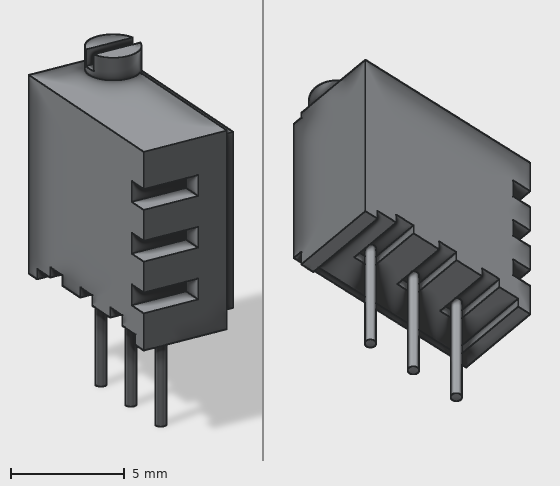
import cadquery as cq


total_height = 15.7
housing_size = 9.6
total_depth = 4.8
main_depth = 4.3

plate_top_inset = 0.3
plate_bottom_inset = 0.8
plate_side_inset = 0.28

foot_width = 0.7
foot_height = 0.5

head_diameter = 2.5
head_height = 1.1
head_inset = 1.4
head_y = 3.5
slot_width = 0.63
slot_depth = 0.8

pin_diameter = 0.5
pin_pitch = 2.5
pin_y = 2.31
pin_length_below = total_height - housing_size - head_height

notch_width = 1.0
notch_depth = pin_y + notch_width / 2
side_notch_length = 1.0
notch_ceiling = 2 * foot_height

half_width = housing_size / 2
head_x = -half_width + head_inset
head_top = housing_size + head_height
plate_top = housing_size - plate_top_inset
row_offsets = [-pin_pitch, 0, pin_pitch]


def box_between(low, high):
    """Box with edges along the axes, from its lowest corner to its highest corner."""
    sizes = [end - start for start, end in zip(low, high)]
    return cq.Workplane("XY").box(*sizes, centered=False).translate(low)


def make_case():
    """Front block with the smaller plate on its back."""
    block = box_between((-half_width, 0, 0), (half_width, main_depth, housing_size))
    plate = box_between(
        (-half_width, main_depth, plate_bottom_inset),
        (half_width - plate_side_inset, total_depth, plate_top),
    )
    return block.union(plate)


def make_head():
    """Round head, standing on the plate and the block, with a screwdriver slot along Y."""
    head = (
        cq.Workplane("XY", origin=(head_x, head_y, plate_top))
        .circle(head_diameter / 2)
        .extrude(head_top - plate_top)
    )
    slot = box_between(
        (head_x - slot_width / 2, head_y - head_diameter, head_top - slot_depth),
        (head_x + slot_width / 2, head_y + head_diameter, head_top),
    )
    return head.cut(slot)


def make_foot_channel():
    """Space between the two feet, through the block from front to back."""
    inner_x = half_width - foot_width
    return box_between((-inner_x, 0, 0), (inner_x, main_depth, foot_height))


def make_pin_notch(x):
    """Notch in the bottom around the pin at x."""
    return box_between(
        (x - notch_width / 2, 0, 0),
        (x + notch_width / 2, notch_depth, notch_ceiling),
    )


def make_side_notch(z):
    """Notch in the +X side, centred at height z."""
    return box_between(
        (half_width - side_notch_length, 0, z - notch_width / 2),
        (half_width, notch_depth, z + notch_width / 2),
    )


def make_housing():
    """Case and head in one piece, with the bottom and side openings cut out."""
    housing = make_case().union(make_head()).cut(make_foot_channel())
    for offset in row_offsets:
        housing = housing.cut(make_pin_notch(offset))
        housing = housing.cut(make_side_notch(housing_size / 2 + offset))
    return housing


def make_pin(x):
    """Round pin hanging from the ceiling of its notch."""
    return (
        cq.Workplane("XY", origin=(x, pin_y, -pin_length_below))
        .circle(pin_diameter / 2)
        .extrude(pin_length_below + notch_ceiling)
    )


housing = make_housing()
pins = [make_pin(x) for x in row_offsets]

result = cq.Compound.makeCompound([housing.val(), *[pin.val() for pin in pins]])